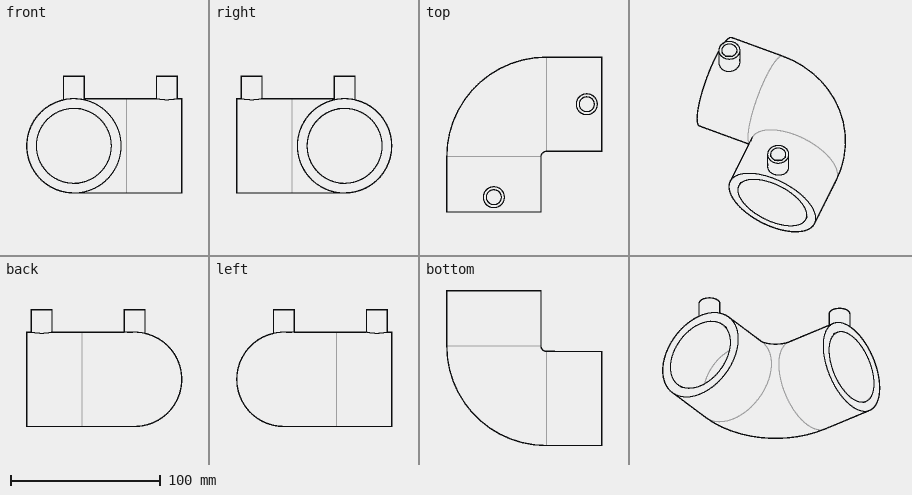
import cadquery as cq

outer_diameter = 63.0
bore_diameter = 50.0
bend_radius = 35.0
socket_length = 37.0
bend_angle = 90.0

post_diameter = 14.0
post_bore_diameter = 10.0
post_height = 15.0
post_end_distance = 10.0

outer_radius = outer_diameter / 2
bore_radius = bore_diameter / 2
socket_end = bend_radius + socket_length
post_offset = socket_end - post_end_distance
post_top = outer_radius + post_height
post_root = (outer_radius + bore_radius) / 2

post_positions = [(0, -post_offset), (post_offset, 0)]


def ring(plane, origin):
    """Pipe cross-section sketched on the given plane."""
    return cq.Workplane(plane, origin=origin).circle(outer_radius).circle(bore_radius)


def elbow():
    """Hollow bend with a straight socket at each end."""
    front_joint = (0, -bend_radius, 0)
    side_joint = (bend_radius, 0, 0)
    front_socket = ring("XZ", front_joint).extrude(socket_length)
    side_socket = ring("YZ", side_joint).extrude(socket_length)
    bend = ring("XZ", front_joint).revolve(bend_angle, (bend_radius, 0), (bend_radius, -1))
    return bend.union(front_socket).union(side_socket)


def hollow_posts():
    """Upright tubes whose bores are closed at the bottom by the outer surface of the pipe."""
    return (
        cq.Workplane("XY", origin=(0, 0, post_root))
        .pushPoints(post_positions)
        .circle(post_diameter / 2)
        .circle(post_bore_diameter / 2)
        .extrude(post_top - post_root)
    )


result = elbow().union(hollow_posts())